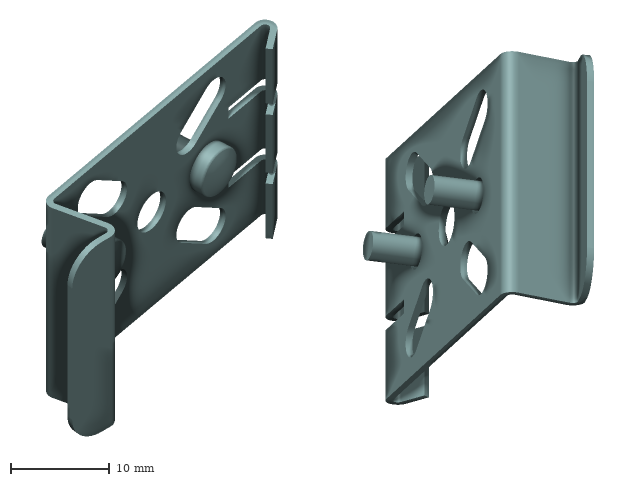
import cadquery as cq
import math


thickness = 0.75
width = 26.0
inner_bend_radius = 0.55
outer_bend_radius = inner_bend_radius + thickness
plate_top = 19.0
plate_bottom = -17.08
hook_angle = 30
hook_length = 3.05
flange_tilt = 10
clip_depth = 8.83
overall_length = 40.85
lip_end = plate_top - overall_length
lip_corner_radius = 4.0

centre_hole_diameter = 4.6
slot_width = 4.0
slot_inner_offset = 6.0
slot_outer_y = 10.0
slot_outer_z = 9.0
notch_width = 1.5
notch_z = 4.75
notch_end = 12.5

rivet_y = 9.0
rivet_hole_diameter = 3.7
shank_diameter = 3.02
shank_projection = 5.2
head_diameter = 5.68
head_height = 2.5
dome_radius = 5.0
head_edge_radius = 0.3


def unit(degrees):
    """Unit vector at an angle measured from +X towards +Y."""
    return cq.Vector(math.cos(math.radians(degrees)), math.sin(math.radians(degrees)))


def polar(centre, degrees, radius):
    """XY point at an angle and a radius from a bend centre."""
    point = centre + unit(degrees) * radius
    return (point.x, point.y)


def bent_sheet():
    """The sheet bent into hook, plate, flange and lip, with square lip corners."""
    hook_side = hook_angle
    hook_run = hook_angle - 90
    flange_side = flange_tilt - 90
    flange_run = flange_tilt
    lip_side = -flange_tilt
    lip_run = -flange_tilt - 90

    hook_mid = (180 + hook_side) / 2
    flange_mid = (180 + 360 + flange_side) / 2
    lip_start = flange_side + 180
    lip_mid = (lip_start + lip_side) / 2

    hook_bend = cq.Vector(outer_bend_radius, plate_top - outer_bend_radius)
    flange_bend = cq.Vector(outer_bend_radius, plate_bottom + outer_bend_radius)
    flange_crossing = flange_bend + unit(flange_side) * (inner_bend_radius + outer_bend_radius)
    lip_bend_x = clip_depth - outer_bend_radius
    flange_length = (lip_bend_x - flange_crossing.x) / unit(flange_run).x
    lip_bend = flange_crossing + unit(flange_run) * flange_length

    hook_tip = hook_bend + unit(hook_run) * hook_length
    lowest_y = polar(lip_bend, lip_side, outer_bend_radius)[1]
    lip_tip = lip_bend + unit(lip_run) * ((lip_end - lowest_y) / unit(lip_run).y)

    outline = (
        cq.Workplane("XY")
        .moveTo(0, flange_bend.y)
        .lineTo(0, hook_bend.y)
        .threePointArc(
            polar(hook_bend, hook_mid, outer_bend_radius),
            polar(hook_bend, hook_side, outer_bend_radius),
        )
        .lineTo(*polar(hook_tip, hook_side, outer_bend_radius))
        .lineTo(*polar(hook_tip, hook_side, inner_bend_radius))
        .lineTo(*polar(hook_bend, hook_side, inner_bend_radius))
        .threePointArc(polar(hook_bend, hook_mid, inner_bend_radius), (thickness, hook_bend.y))
        .lineTo(thickness, flange_bend.y)
        .threePointArc(
            polar(flange_bend, flange_mid, inner_bend_radius),
            polar(flange_bend, flange_side, inner_bend_radius),
        )
        .lineTo(*polar(lip_bend, lip_start, outer_bend_radius))
        .threePointArc(
            polar(lip_bend, lip_mid, outer_bend_radius),
            polar(lip_bend, lip_side, outer_bend_radius),
        )
        .lineTo(*polar(lip_tip, lip_side, outer_bend_radius))
        .lineTo(*polar(lip_tip, lip_side, inner_bend_radius))
        .lineTo(*polar(lip_bend, lip_side, inner_bend_radius))
        .threePointArc(
            polar(lip_bend, lip_mid, inner_bend_radius),
            polar(lip_bend, lip_start, inner_bend_radius),
        )
        .lineTo(*polar(flange_bend, flange_side, outer_bend_radius))
        .threePointArc(polar(flange_bend, flange_mid, outer_bend_radius), (0, flange_bend.y))
        .close()
    )
    return outline.extrude(width / 2, both=True)


def round_cutter(centre_y, diameter):
    """Round hole through the plate, on its centre line."""
    return cq.Workplane("YZ").center(centre_y, 0).circle(diameter / 2).extrude(thickness)


def slot_cutter(side_y, side_z):
    """Diagonal slot in one quarter of the plate."""
    run_y = slot_outer_y - slot_inner_offset
    run_z = slot_outer_z - slot_inner_offset
    centre_y = side_y * (slot_outer_y + slot_inner_offset) / 2
    centre_z = side_z * (slot_outer_z + slot_inner_offset) / 2
    slope = side_y * side_z * math.degrees(math.atan2(run_z, run_y))
    slot_length = math.hypot(run_y, run_z) + slot_width
    return (
        cq.Workplane("YZ")
        .center(centre_y, centre_z)
        .slot2D(slot_length, slot_width, slope)
        .extrude(thickness)
    )


def notch_cutter(side_z):
    """Notch through the whole hook and into the end of the plate."""
    notch = cq.Workplane("XY").box(
        clip_depth, plate_top - notch_end, notch_width, centered=(False, False, True)
    )
    return notch.translate((0, notch_end, side_z * notch_z))


def make_clip():
    clip = bent_sheet()
    clip = clip.faces("<Y").edges("not |Z").fillet(lip_corner_radius)

    clip = clip.cut(round_cutter(0, centre_hole_diameter))
    for side_y in (-1, 1):
        clip = clip.cut(round_cutter(side_y * rivet_y, rivet_hole_diameter))
        for side_z in (-1, 1):
            clip = clip.cut(slot_cutter(side_y, side_z))
    for side_z in (-1, 1):
        clip = clip.cut(notch_cutter(side_z))
    return clip


def make_rivet(centre_y):
    """Shank and domed head, revolved about X; the head rests on the inner face of the plate."""
    shank_radius = shank_diameter / 2
    head_radius = head_diameter / 2
    head_top = thickness + head_height
    dome_centre = head_top - dome_radius
    dome_base = dome_centre + math.sqrt(dome_radius**2 - head_radius**2)
    dome_half_angle = math.degrees(math.asin(head_radius / dome_radius))
    rivet = (
        cq.Workplane("XY")
        .moveTo(-shank_projection, 0)
        .lineTo(-shank_projection, shank_radius)
        .lineTo(thickness, shank_radius)
        .lineTo(thickness, head_radius)
        .lineTo(dome_base, head_radius)
        .threePointArc(polar(cq.Vector(dome_centre, 0), dome_half_angle / 2, dome_radius), (head_top, 0))
        .close()
        .revolve(360, (0, 0), (1, 0))
    )
    rim = rivet.faces("%CYLINDER").edges("%CIRCLE").edges(">X")
    return rim.fillet(head_edge_radius).translate((0, centre_y, 0))


clip = make_clip()
rivets = [make_rivet(side * rivet_y) for side in (-1, 1)]

result = cq.Compound.makeCompound([clip.val(), *[rivet.val() for rivet in rivets]])